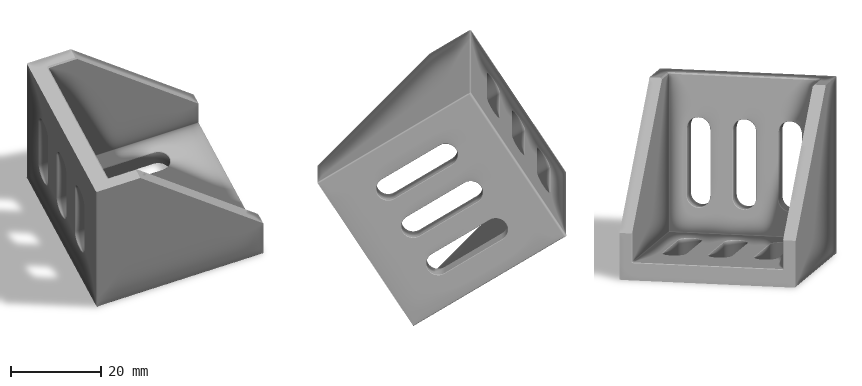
import cadquery as cq

size = 40.0
middle = size / 2
flat = 10.55

side_wall = 2.9
plate = 4.05

slot_count = 3
slot_pitch = 10.4
slot_width = 5.3
slot_length = 20.3
mouth_bevel = 0.1

bend_radius = 0.5
outer_radius = 0.3
rim_bevel = 0.3
floor_back_bevel = 0.15
cavity_radius = 0.15

overshoot = 0.4


def outer_block():
    """Cube with rounded side edges and a full width rounded front bottom edge."""
    block = cq.Workplane("XY").box(size, size, size, centered=False)
    block = block.edges("(<Y and |Z) or (<Z and |Y)").fillet(outer_radius)
    corner_bar = cq.Workplane("XY").box(size, bend_radius, bend_radius, centered=False)
    bend = (
        cq.Workplane("YZ")
        .moveTo(bend_radius, 0)
        .radiusArc((0, bend_radius), bend_radius)
        .lineTo(bend_radius, bend_radius)
        .close()
        .extrude(size)
    )
    return block.cut(corner_bar).union(bend)


def cavity():
    """Space between the side walls, open at the top and at the back."""
    depth = size - plate + overshoot
    space = (
        cq.Workplane("XY")
        .box(size - 2 * side_wall, depth, depth, centered=False)
        .translate((side_wall, plate, plate))
    )
    space = space.edges("|Z and <Y").fillet(cavity_radius)
    return space.faces("<Z").edges("not >Y").fillet(cavity_radius)


def bevel_rims(part):
    """Bevel the cavity rim on the top face and the back edge of the floor."""
    low = outer_radius
    high = size - outer_radius
    inside_top = cq.selectors.BoxSelector((low, low, high), (high, high, size + overshoot))
    part = part.faces(">Z").edges(inside_top).chamfer(rim_bevel)
    floor_back = cq.selectors.BoxSelector(
        (side_wall * 2, high, plate - overshoot),
        (size - side_wall * 2, size + overshoot, plate + overshoot),
    )
    return part.edges(floor_back).chamfer(floor_back_bevel)


def slope_cut():
    """Material above the 45 degree slope."""
    return (
        cq.Workplane("YZ")
        .polyline([(size, flat), (size, size), (flat, size)])
        .close()
        .extrude(size)
    )


def slot_row(plane):
    """Row of slots through a plate that starts on the given plane, beveled at both mouths."""
    first = -(slot_count - 1) / 2 * slot_pitch
    centres = [(first + index * slot_pitch, 0) for index in range(slot_count)]
    through = cq.Workplane(plane).pushPoints(centres).slot2D(slot_length, slot_width, 90).extrude(plate)
    for offset, direction in ((0, 1), (plate, -1)):
        mouth = (
            cq.Workplane(plane)
            .workplane(offset=offset)
            .pushPoints(centres)
            .slot2D(slot_length + 2 * mouth_bevel, slot_width + 2 * mouth_bevel, 90)
            .extrude(direction * mouth_bevel, taper=45)
        )
        through = through.union(mouth)
    return through


front_face = cq.Plane(origin=(middle, 0, middle), xDir=(1, 0, 0), normal=(0, 1, 0))
bottom_face = cq.Plane(origin=(middle, middle, 0), xDir=(1, 0, 0), normal=(0, 0, 1))

result = bevel_rims(outer_block().cut(cavity()))
result = result.cut(slope_cut())
for face in (front_face, bottom_face):
    result = result.cut(slot_row(face))